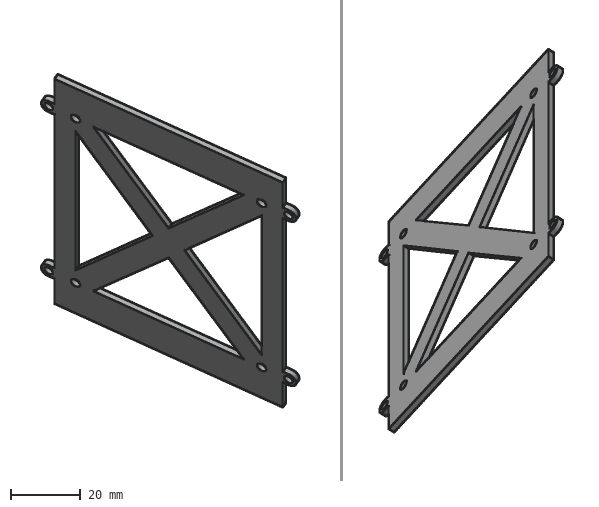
import cadquery as cq

height = 104.6
plate_width = 75.7
thickness = 2.0

overall_width = 84.5
ear_width = 5.0
ear_radius = ear_width / 2
ear_hole_diameter = 2.8
ear_x = overall_width / 2 - ear_radius

window_x = 30.9
window_z = 38.2
corner_hole_diameter = 3.0

end_opening_half_base = 24.9
end_opening_apex_z = 6.9
side_opening_half_base = 32.3
side_opening_apex_x = 5.3


def front_sketch():
    """Workplane on the middle of the thickness, with local axes X and Z."""
    return cq.Workplane("XZ")


def extrude_through(sketch):
    """Extrude a closed outline over the full plate thickness."""
    return sketch.extrude(thickness / 2, both=True)


def triangle(points):
    return extrude_through(front_sketch().polyline(points).close())


def holes(centers, diameter):
    return extrude_through(front_sketch().pushPoints(centers).circle(diameter / 2))


def ear(side, z):
    """Round-ended tab reaching from inside the plate to its rounded tip."""
    root_x = side * window_x
    center_x = side * ear_x
    outline = (
        front_sketch()
        .moveTo(root_x, z - ear_radius)
        .lineTo(center_x, z - ear_radius)
        .threePointArc((center_x + side * ear_radius, z), (center_x, z + ear_radius))
        .lineTo(root_x, z + ear_radius)
        .close()
    )
    return extrude_through(outline)


signs = (-1, 1)
corners = [(x_sign, z_sign) for x_sign in signs for z_sign in signs]

result = extrude_through(front_sketch().rect(plate_width, height))
for x_sign, z_sign in corners:
    result = result.union(ear(x_sign, z_sign * window_z))

for sign in signs:
    end_opening = triangle([
        (-end_opening_half_base, sign * window_z),
        (end_opening_half_base, sign * window_z),
        (0, sign * end_opening_apex_z),
    ])
    side_opening = triangle([
        (sign * window_x, -side_opening_half_base),
        (sign * window_x, side_opening_half_base),
        (sign * side_opening_apex_x, 0),
    ])
    result = result.cut(end_opening).cut(side_opening)

corner_centers = [(x_sign * window_x, z_sign * window_z) for x_sign, z_sign in corners]
ear_centers = [(x_sign * ear_x, z_sign * window_z) for x_sign, z_sign in corners]
result = result.cut(holes(corner_centers, corner_hole_diameter))
result = result.cut(holes(ear_centers, ear_hole_diameter))